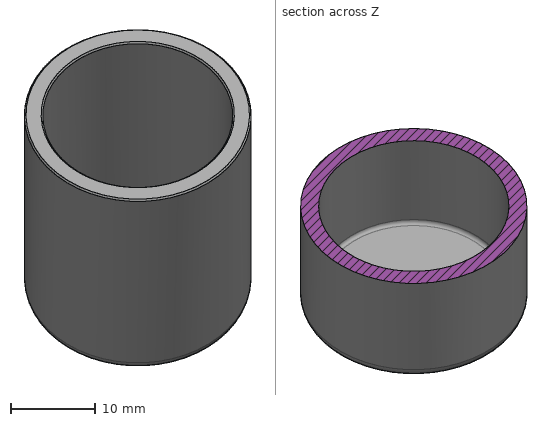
import cadquery as cq

outer_diameter = 27.0
bore_diameter = 22.6
height = 31.1
wall = (outer_diameter - bore_diameter) / 2
floor_thickness = wall

base_fillet = 1.5
floor_fillet = 0.5
rim_chamfer = 0.2


def make_body():
    """Solid cylinder with a rounded base and a chamfered top edge, centred on the origin."""
    body = cq.Workplane("XY").circle(outer_diameter / 2).extrude(height)
    body = body.faces("<Z").edges().fillet(base_fillet)
    body = body.faces(">Z").edges().chamfer(rim_chamfer)
    return body.translate((0, 0, -height / 2))


def make_bore():
    """Cutter for the blind bore: rounded floor corner and a flared mouth."""
    depth = height - floor_thickness
    bore = cq.Workplane("XY").circle(bore_diameter / 2).extrude(depth)
    bore = bore.faces("<Z").edges().fillet(floor_fillet)
    mouth = (
        cq.Workplane("XY")
        .workplane(offset=depth - rim_chamfer)
        .circle(bore_diameter / 2)
        .workplane(offset=rim_chamfer)
        .circle(bore_diameter / 2 + rim_chamfer)
        .loft()
    )
    return bore.union(mouth).translate((0, 0, floor_thickness - height / 2))


result = make_body().cut(make_bore())